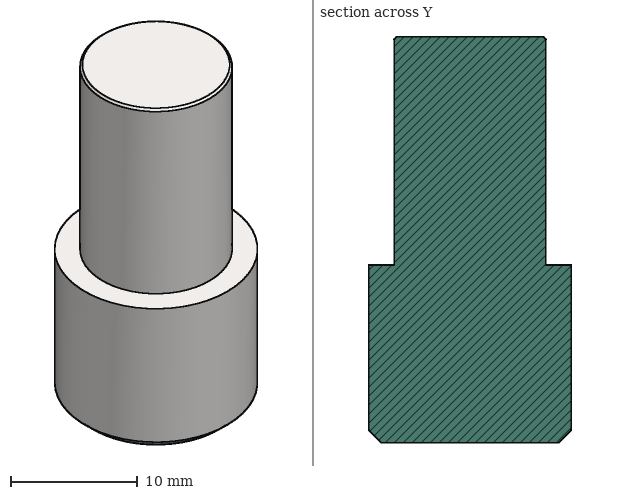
import cadquery as cq

total_height = 32.0
head_diameter = 16.0
head_height = 14.0
head_chamfer = 1.0
shank_diameter = 12.0
shank_chamfer = 0.2
shank_height = total_height - head_height

head = (
    cq.Workplane("XY")
    .circle(head_diameter / 2)
    .extrude(head_height)
    .faces("<Z")
    .chamfer(head_chamfer)
)

shank = (
    cq.Workplane("XY")
    .workplane(offset=head_height)
    .circle(shank_diameter / 2)
    .extrude(shank_height)
    .faces(">Z")
    .chamfer(shank_chamfer)
)

result = head.union(shank)